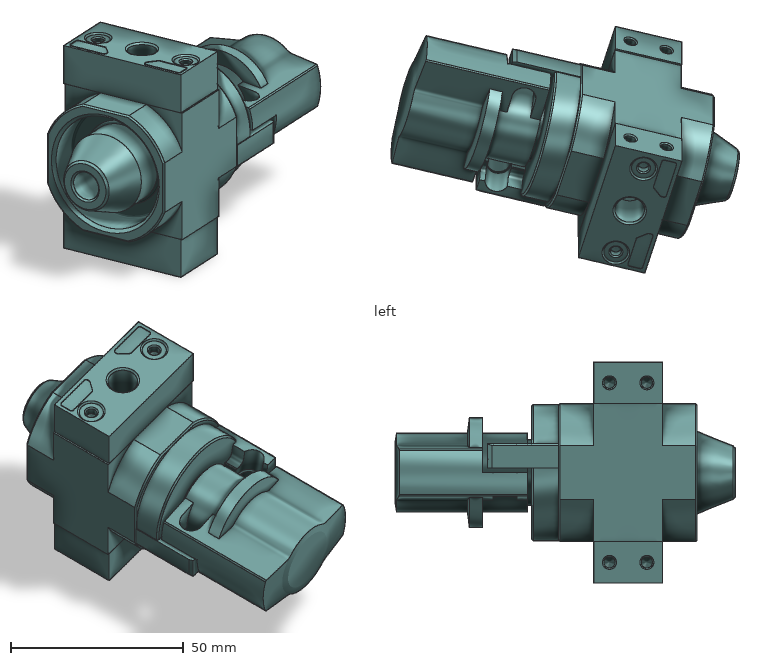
import cadquery as cq
import math


HALF_SIZE = 20.0
HOUSING_BACK = 20.2
BARREL_RADIUS = 21.4
PORT_ZONE_DEPTH = 20.0
END_CHAMFER = 0.5
PORT_DIAMETER = 8.6
PORT_MOUTH_DIAMETER = 9.6

POCKET_RADIUS = 17.4
POCKET_DEPTH = 9.8
POCKET_MOUTH_CHAMFER = 1.0
POCKET_FILLET = 0.8
NOZZLE_RADIUS = 12.1
NOZZLE_TIP_RADIUS = 7.8
NOZZLE_LENGTH = 11.0
CONE_START_DEPTH = 0.3
TIP_CHAMFER = 0.7

BLOCK_HEIGHT = 12.0
BLOCK_SHIFT = -0.5
SIDE_HOLE_DIAMETER = 3.2
SIDE_HOLE_MOUTH_DIAMETER = 4.0
SIDE_HOLE_DEPTH = 7.9
SIDE_HOLE_OFFSET = 5.4
SIDE_HOLE_HEIGHT = HALF_SIZE + BLOCK_HEIGHT / 2
SCREW_POSITIONS = (-15.0, 15.0)
SCREW_SEAT_MOUTH_DIAMETER = 8.0
SCREW_HEAD_DIAMETER = 7.0
SCREW_HEAD_LENGTH = 4.9
SCREW_HEAD_TOP = HALF_SIZE + BLOCK_HEIGHT - (SCREW_SEAT_MOUTH_DIAMETER - SCREW_HEAD_DIAMETER) / 2
SCREW_SHANK_DIAMETER = 5.2
SCREW_THREAD_LENGTH = 5.9
SOCKET_DIAMETER = 3.2
SOCKET_MOUTH_DIAMETER = 4.0
SOCKET_DEPTH = 2.5
DRILL_POINT_ANGLE = 118
LABEL_DEPTH = 0.2
LABEL_INNER_X = 6.7
LABEL_OUTER_X = 19.2
LABEL_SLOPE_X = 2.5
LABEL_LOW_Y = -8.9
LABEL_HIGH_Y = -4.4
LABEL_SLOPE_Y = -7.3
LABEL_CORNER_RADIUS = 0.7

COLLAR_RADIUS = 19.8
COLLAR_LENGTH = 7.8
COLLAR_BACK = HOUSING_BACK + COLLAR_LENGTH
FINGER_END = 40.6
FINGER_BOTTOM = 1.3
FINGER_TOP = 8.4
FINGER_EDGE_CHAMFER = 0.5
FINGER_END_BEVEL_LENGTH = 1.2
FINGER_END_BEVEL_DEPTH = 0.4
FINGER_INNER_X = 11.9
SCALLOP_WALL_TOP_X = 15.9
SCALLOP_WALL_FOOT_X = 15.3
SCALLOP_WALL_FOOT_Z = 5.5
SCALLOP_FLOOR_X = 12.4
SCALLOP_FLOOR_Z = 3.9

HANDLE_BACK = 67.4
HANDLE_FRONT = 29.1
HUB_RADIUS = 11.4
NECK_RADIUS = 9.5
WING_RADIUS = 19.6
WING_RIDGE = 8.9
WING_SLOPE = 6.6
WING_EDGE_X = 18.1
WING_BEVEL_FOOT_Z = 6.4
HUB_FILLET = 3.1
CROWN_FLAT_RADIUS = 9.15
HUB_END_DROP = 0.4
CROWN_DROP = 1.2
DISC_RADIUS = 15.9
DISC_FRONT = 42.1
DISC_BACK = 45.9
DISC_CROWN_HEIGHT = 0.6

LOCK_SLOT_WIDTH = 7.0
LOCK_SLOT_Y = 35.6
WING_SLOT_END_X = 17.1
FINGER_SLOT_END_X = 18.6
FINGER_SLOT_TILT = 14


def revolve_about_y(points):
    """Solid of revolution from (radius, y) points."""
    return cq.Workplane("XY").polyline(points).close().revolve(360, (0, 0, 0), (0, 1, 0))


def rod_along_y(radius, front, back):
    return revolve_about_y([(0, front), (radius, front), (radius, back), (0, back)])


def box_between(low, high):
    """Box from its lowest corner to its highest corner."""
    sizes = [high[axis] - low[axis] for axis in range(3)]
    return cq.Workplane("XY").box(*sizes, centered=False).translate(low)


def half_turn(body):
    """The body turned 180 degrees about the valve axis."""
    return body.rotate((0, 0, 0), (0, 1, 0), 180)


def drilled_hole(diameter, mouth_diameter, depth):
    """Cutter along -Z from the origin: chamfered mouth, straight wall and conical end."""
    radius = diameter / 2
    mouth_radius = mouth_diameter / 2
    point_length = radius / math.tan(math.radians(DRILL_POINT_ANGLE / 2))
    profile = [
        (0, 0),
        (mouth_radius, 0),
        (radius, radius - mouth_radius),
        (radius, -depth),
        (0, -depth - point_length),
    ]
    return cq.Workplane("XZ").polyline(profile).close().revolve(360, (0, 0, 0), (0, 1, 0))


def hole_mouth(diameter, mouth_diameter):
    """45 degree chamfer cutter, widest at the origin and narrowing along -Z."""
    depth = (mouth_diameter - diameter) / 2
    cone = cq.Solid.makeCone(diameter / 2, mouth_diameter / 2, depth, pnt=cq.Vector(0, 0, -depth))
    return cq.Workplane(obj=cone)


def cross_port():
    return cq.Workplane("XY").circle(PORT_DIAMETER / 2).extrude(HALF_SIZE + BLOCK_HEIGHT, both=True)


def screw_blank(x):
    """Screw without its socket: the head in the top block and the shank reaching into the housing."""
    head_bottom = SCREW_HEAD_TOP - SCREW_HEAD_LENGTH
    shank_bottom = HALF_SIZE - SCREW_THREAD_LENGTH
    head = cq.Workplane("XY", origin=(x, 0, head_bottom)).circle(SCREW_HEAD_DIAMETER / 2)
    head = head.extrude(SCREW_HEAD_LENGTH)
    shank = cq.Workplane("XY", origin=(x, 0, shank_bottom)).circle(SCREW_SHANK_DIAMETER / 2)
    return head.union(shank.extrude(head_bottom - shank_bottom))


def make_screw(x):
    socket = drilled_hole(SOCKET_DIAMETER, SOCKET_MOUTH_DIAMETER, SOCKET_DEPTH)
    return screw_blank(x).cut(socket.translate((x, 0, SCREW_HEAD_TOP)))


def label_recess(side):
    """Shallow five-sided label field; side is +1 or -1 along X."""
    outline = [
        (side * LABEL_OUTER_X, LABEL_LOW_Y),
        (side * LABEL_OUTER_X, LABEL_HIGH_Y),
        (side * (LABEL_INNER_X + LABEL_SLOPE_X), LABEL_HIGH_Y),
        (side * LABEL_INNER_X, LABEL_SLOPE_Y),
        (side * LABEL_INNER_X, LABEL_LOW_Y),
    ]
    floor = HALF_SIZE + BLOCK_HEIGHT - LABEL_DEPTH
    field = cq.Workplane("XY", origin=(BLOCK_SHIFT, 0, floor)).polyline(outline).close()
    return field.extrude(LABEL_DEPTH).edges("|Z").fillet(LABEL_CORNER_RADIUS)


def make_top_block():
    block_top = HALF_SIZE + BLOCK_HEIGHT
    block = cq.Workplane("XY").box(2 * HALF_SIZE, PORT_ZONE_DEPTH, BLOCK_HEIGHT)
    block = block.translate((BLOCK_SHIFT, 0, HALF_SIZE + BLOCK_HEIGHT / 2))
    port_mouth = hole_mouth(PORT_DIAMETER, PORT_MOUTH_DIAMETER).translate((0, 0, block_top))
    block = block.cut(cross_port()).cut(port_mouth)

    mouth = hole_mouth(SCREW_HEAD_DIAMETER, SCREW_SEAT_MOUTH_DIAMETER)
    for x in SCREW_POSITIONS:
        block = block.cut(mouth.translate((x, 0, block_top))).cut(screw_blank(x))

    side_hole = drilled_hole(SIDE_HOLE_DIAMETER, SIDE_HOLE_MOUTH_DIAMETER, SIDE_HOLE_DEPTH)
    side_hole = side_hole.rotate((0, 0, 0), (0, 1, 0), -90)
    for y in (-SIDE_HOLE_OFFSET, SIDE_HOLE_OFFSET):
        block = block.cut(side_hole.translate((BLOCK_SHIFT - HALF_SIZE, y, SIDE_HOLE_HEIGHT)))

    for side in (-1, 1):
        block = block.cut(label_recess(side))
    return block


def make_nozzle():
    """Nozzle standing on the pocket floor, with a fillet around its foot."""
    floor = POCKET_DEPTH - HALF_SIZE
    tip = -HALF_SIZE - NOZZLE_LENGTH
    profile = (
        cq.Workplane("XY")
        .moveTo(0, floor)
        .lineTo(NOZZLE_RADIUS + POCKET_FILLET, floor)
        .radiusArc((NOZZLE_RADIUS, floor - POCKET_FILLET), POCKET_FILLET)
        .lineTo(NOZZLE_RADIUS, CONE_START_DEPTH - HALF_SIZE)
        .lineTo(NOZZLE_TIP_RADIUS, tip + TIP_CHAMFER)
        .lineTo(NOZZLE_TIP_RADIUS - TIP_CHAMFER, tip)
        .lineTo(0, tip)
        .close()
    )
    return profile.revolve(360, (0, 0, 0), (0, 1, 0))


def make_housing():
    barrel = rod_along_y(BARREL_RADIUS, -HALF_SIZE, HOUSING_BACK)
    square = box_between((-HALF_SIZE, -HALF_SIZE, -HALF_SIZE), (HALF_SIZE, HOUSING_BACK, HALF_SIZE))
    barrel = barrel.intersect(square)
    barrel = barrel.faces("<Y or >Y").chamfer(END_CHAMFER)
    body = barrel.union(cq.Workplane("XY").box(2 * HALF_SIZE, PORT_ZONE_DEPTH, 2 * HALF_SIZE))

    floor = POCKET_DEPTH - HALF_SIZE
    pocket = rod_along_y(POCKET_RADIUS, -HALF_SIZE, floor).faces(">Y").edges().fillet(POCKET_FILLET)
    mouth = revolve_about_y([
        (0, -HALF_SIZE),
        (POCKET_RADIUS + POCKET_MOUTH_CHAMFER, -HALF_SIZE),
        (POCKET_RADIUS, POCKET_MOUTH_CHAMFER - HALF_SIZE),
        (0, POCKET_MOUTH_CHAMFER - HALF_SIZE),
    ])
    body = body.cut(pocket).cut(mouth).union(make_nozzle())

    tip = -HALF_SIZE - NOZZLE_LENGTH
    port_radius = PORT_DIAMETER / 2
    mouth_radius = PORT_MOUTH_DIAMETER / 2
    bore = revolve_about_y([
        (0, tip),
        (mouth_radius, tip),
        (port_radius, tip + mouth_radius - port_radius),
        (port_radius, port_radius),
        (0, port_radius),
    ])
    body = body.cut(cross_port()).cut(bore)
    for x in SCREW_POSITIONS:
        blank = screw_blank(x)
        body = body.cut(blank).cut(blank.mirror("XY"))
    return body


def make_finger():
    """Locking finger on the -X side, standing on the collar and reaching back over the wing."""
    section = (
        cq.Workplane("XZ", origin=(0, FINGER_END, 0))
        .moveTo(-HALF_SIZE, FINGER_BOTTOM)
        .lineTo(-HALF_SIZE, FINGER_TOP - FINGER_EDGE_CHAMFER)
        .lineTo(FINGER_EDGE_CHAMFER - HALF_SIZE, FINGER_TOP)
        .lineTo(-SCALLOP_WALL_TOP_X, FINGER_TOP)
        .lineTo(-SCALLOP_WALL_FOOT_X, SCALLOP_WALL_FOOT_Z)
        .tangentArcPoint((-SCALLOP_FLOOR_X, SCALLOP_FLOOR_Z), relative=False)
        .lineTo(-FINGER_INNER_X, SCALLOP_FLOOR_Z)
        .lineTo(-FINGER_INNER_X, FINGER_BOTTOM)
        .close()
    )
    finger = section.extrude(FINGER_END - HOUSING_BACK)

    bevel = (
        cq.Workplane("XY")
        .moveTo(-HALF_SIZE, FINGER_END - FINGER_END_BEVEL_LENGTH)
        .lineTo(-HALF_SIZE, FINGER_END)
        .lineTo(FINGER_END_BEVEL_DEPTH - HALF_SIZE, FINGER_END)
        .close()
        .extrude(FINGER_TOP)
    )

    slot_length = 2 * HALF_SIZE
    half_width_along_x = LOCK_SLOT_WIDTH / 2 / math.cos(math.radians(FINGER_SLOT_TILT))
    slot = (
        cq.Workplane("XY")
        .circle(LOCK_SLOT_WIDTH / 2)
        .extrude(FINGER_TOP, both=True)
        .union(box_between(
            (0, -LOCK_SLOT_WIDTH / 2, -FINGER_TOP),
            (slot_length, LOCK_SLOT_WIDTH / 2, FINGER_TOP),
        ))
        .rotate((0, 0, 0), (0, 1, 0), -FINGER_SLOT_TILT)
        .translate((half_width_along_x - FINGER_SLOT_END_X, LOCK_SLOT_Y, FINGER_TOP))
    )
    return finger.cut(bevel).cut(slot)


def make_collar():
    ring = rod_along_y(COLLAR_RADIUS, HOUSING_BACK, COLLAR_BACK).faces(">Y").chamfer(END_CHAMFER)
    finger = make_finger()
    collar = ring.union(finger).union(half_turn(finger))
    return collar.cut(rod_along_y(NECK_RADIUS, HOUSING_BACK, COLLAR_BACK))


def make_wings():
    """Flat double wing, rounded at its tips, with a notch for each finger."""
    plate = rod_along_y(WING_RADIUS, HANDLE_FRONT, HANDLE_BACK)
    bevel_foot_x = math.sqrt(WING_RADIUS**2 - WING_BEVEL_FOOT_Z**2)
    edge_z = WING_RIDGE - WING_EDGE_X * math.tan(math.radians(WING_SLOPE))
    upper_right = [
        (WING_RADIUS, WING_BEVEL_FOOT_Z),
        (bevel_foot_x, WING_BEVEL_FOOT_Z),
        (WING_EDGE_X, edge_z),
    ]
    upper_left = [(-x, z) for x, z in reversed(upper_right)]
    upper = upper_right + [(0, WING_RIDGE)] + upper_left
    outline = upper + [(-x, -z) for x, z in upper]
    section = cq.Workplane("XZ", origin=(0, HANDLE_BACK, 0)).polyline(outline).close()
    plate = plate.intersect(section.extrude(HANDLE_BACK - HANDLE_FRONT))

    notch = box_between((-WING_RADIUS, HANDLE_FRONT, 0), (0, DISC_FRONT, WING_RIDGE))
    plate = plate.cut(notch).cut(half_turn(notch))

    slot = cq.Workplane("XY").center(0, LOCK_SLOT_Y).slot2D(2 * WING_SLOT_END_X, LOCK_SLOT_WIDTH)
    return plate.cut(slot.extrude(WING_RIDGE, both=True))


def make_hub_fillet():
    """Filler with a concave side between the hub and an upper flat, on the +X side."""
    slope = math.radians(WING_SLOPE)
    flat_distance = WING_RIDGE * math.cos(slope)
    along_flat = math.sqrt((HUB_RADIUS + HUB_FILLET) ** 2 - (flat_distance + HUB_FILLET) ** 2)

    def section_point(distance):
        """Point at the fillet centre's place along the flat, at this distance from the axis plane."""
        x = along_flat * math.cos(slope) + distance * math.sin(slope)
        z = distance * math.cos(slope) - along_flat * math.sin(slope)
        return x, z

    centre_x, centre_z = section_point(flat_distance + HUB_FILLET)
    hub_share = HUB_RADIUS / (HUB_RADIUS + HUB_FILLET)
    filler = (
        cq.Workplane("XZ", origin=(0, HANDLE_BACK, 0))
        .moveTo(0, 0)
        .lineTo(centre_x * hub_share, centre_z * hub_share)
        .radiusArc(section_point(flat_distance), -HUB_FILLET)
        .close()
    )
    return filler.extrude(HANDLE_BACK - DISC_BACK)


def make_handle():
    handle = make_wings().union(rod_along_y(HUB_RADIUS, HANDLE_FRONT, HANDLE_BACK))
    fillet = make_hub_fillet()
    fillets = fillet.union(fillet.mirror("YZ"))
    handle = handle.union(fillets).union(fillets.mirror("XY"))

    crown = revolve_about_y([
        (0, HANDLE_FRONT),
        (WING_RADIUS, HANDLE_FRONT),
        (WING_RADIUS, HANDLE_BACK - CROWN_DROP),
        (HUB_RADIUS, HANDLE_BACK - HUB_END_DROP),
        (CROWN_FLAT_RADIUS, HANDLE_BACK),
        (0, HANDLE_BACK),
    ])
    handle = handle.intersect(crown)

    disc = revolve_about_y([
        (0, DISC_FRONT),
        (DISC_RADIUS, DISC_FRONT),
        (DISC_RADIUS, DISC_BACK),
        (HUB_RADIUS, DISC_BACK + DISC_CROWN_HEIGHT),
        (0, DISC_BACK + DISC_CROWN_HEIGHT),
    ])
    neck = rod_along_y(NECK_RADIUS, HOUSING_BACK, HANDLE_FRONT)
    return handle.union(disc).union(neck)


top_screws = [make_screw(x) for x in SCREW_POSITIONS]
bottom_screws = [screw.mirror("XY") for screw in top_screws]
top_block = make_top_block()
bottom_block = top_block.mirror("XY")
housing = make_housing()
collar = make_collar()
handle = make_handle()

result = cq.Compound.makeCompound([
    housing.val(),
    top_block.val(),
    bottom_block.val(),
    *[screw.val() for screw in top_screws + bottom_screws],
    collar.val(),
    handle.val(),
])